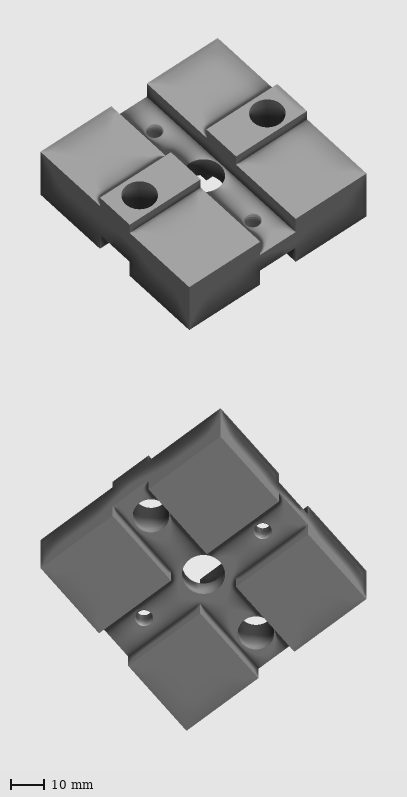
import cadquery as cq
import math

side = 69.5
total_height = 23.8
key_height = 3.8
block_height = total_height - key_height

slot_width = 13.9
bottom_slot_depth = 6.5
top_slot_floor = 13.8

centre_hole_diameter = 12.9
key_hole_diameter = 11.0
key_hole_offset = 25.0

thread_offset = 22.95
thread_minor_diameter = 4.9
thread_major_diameter = 6.0
thread_pitch = 1.0


def box(size_x, size_y, bottom, top):
    """Box centred on the Z axis between two heights."""
    return (
        cq.Workplane("XY")
        .workplane(offset=bottom)
        .rect(size_x, size_y)
        .extrude(top - bottom)
    )


def through_hole(x, y, diameter):
    """Cylinder running through the full height."""
    return cq.Workplane("XY").center(x, y).circle(diameter / 2).extrude(total_height)


def threaded_hole(x):
    """Bore between the slots, lined with ring-shaped V grooves that start half a flank deep."""
    minor_radius = thread_minor_diameter / 2
    major_radius = thread_major_diameter / 2
    opening_radius = (minor_radius + major_radius) / 2
    first_crest = top_slot_floor - thread_pitch / 4
    ring_count = math.ceil((first_crest - bottom_slot_depth) / thread_pitch)
    profile = [(0, top_slot_floor), (opening_radius, top_slot_floor), (minor_radius, first_crest)]
    for ring in range(ring_count):
        crest = first_crest - ring * thread_pitch
        profile.append((major_radius, crest - thread_pitch / 2))
        profile.append((minor_radius, crest - thread_pitch))
    profile.append((0, first_crest - ring_count * thread_pitch))
    cutter = cq.Workplane("XZ").polyline(profile).close().revolve(360, (0, 0, 0), (0, 1, 0))
    return cutter.translate((x, 0, 0))


result = box(side, side, 0, block_height)
result = result.union(box(slot_width, side, 0, total_height))

result = result.cut(box(side, slot_width, top_slot_floor, total_height))
result = result.cut(box(side, slot_width, 0, bottom_slot_depth))
result = result.cut(box(slot_width, side, 0, bottom_slot_depth))

result = result.cut(through_hole(0, 0, centre_hole_diameter))
for direction in (-1, 1):
    result = result.cut(through_hole(0, direction * key_hole_offset, key_hole_diameter))

for direction in (-1, 1):
    result = result.cut(threaded_hole(direction * thread_offset))